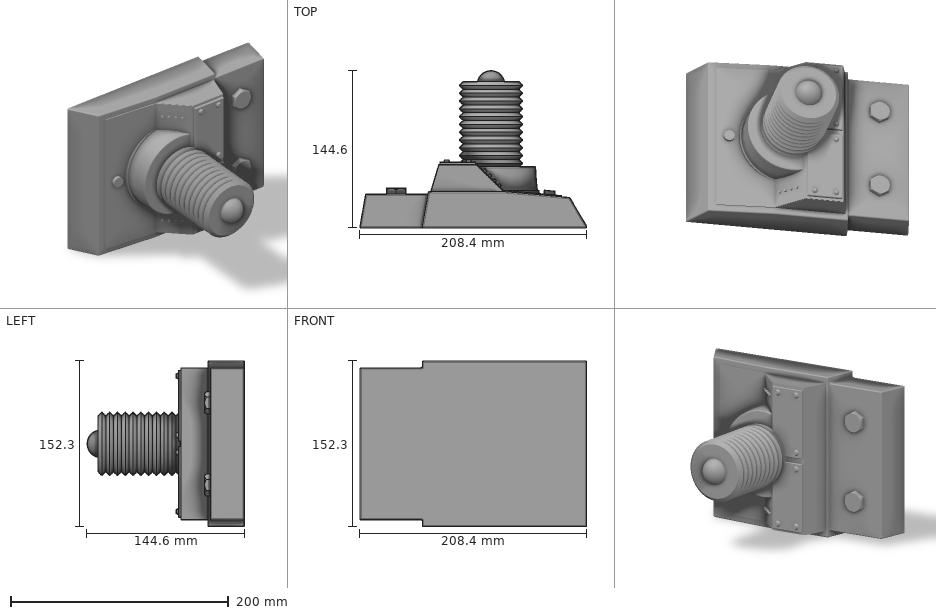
import cadquery as cq
import math


LENGTH = 208.4
BODY_WIDTH = 152.3
BODY_HALF_WIDTH = BODY_WIDTH / 2
WIDTH_STEP = 6.3
SHOULDER_HALF_WIDTH = BODY_HALF_WIDTH - WIDTH_STEP
BODY_HEIGHT = 33.5
SHOULDER_HEIGHT = 31.3
BODY_START = 57.0
SLOPE_START = 132.3
SLOPE_ANGLE = 5.2
LEFT_DRAFT = 10.0
RIGHT_DRAFT = 30.5
EDGE_RADIUS = 1.3

PAD_START = 65.5
PAD_END = 185.5
PAD_RISE = 1.0

TOWER_HEIGHT = 58.3
TOWER_TOP_START = 72.5
TOWER_TOP_END = 107.5
TOWER_FOOT_END = 131.7
RAMP_ANGLE = math.degrees(math.atan2(TOWER_HEIGHT - BODY_HEIGHT - PAD_RISE, TOWER_FOOT_END - TOWER_TOP_END))
SKIN_THICKNESS = 0.52
SKIN_INSET = 0.2

PLATE_START = 73.5
PLATE_END = 106.3
PLATE_THICKNESS = 2.5
PLATE_CHAMFER = 0.52
PLATE_HALF_WIDTH = 67.5
PLATE_HALF_GAP = 2.5
SCREW_RADIUS = 3.0
SCREW_HEIGHT = 1.9
SCREW_TOP_RADIUS = 1.7
SCREW_X = (79.8, 100.0)
SCREW_Z = (8.0, 62.3)

PIN_COUNT = 4
PIN_PITCH = 6.3
PIN_ROW_SHIFT = 1.9
PIN_RADIUS = 1.3
PIN_HEIGHT = 2.0
PIN_Z = 56.3

STUD_X = 120.5
BOSS_TOP = 56.5
BOSS_TOP_RADIUS = 41.0
BOSS_FOOT_RADIUS = 42.7
BOSS_EDGE_RADIUS = 1.3
FLANGE_RADIUS = 44.4
FLANGE_TOP = 34.5
STUD_TOP = 134.6
STUD_BOTTOM = 55.8
RIDGE_COUNT = 11
CREST_RADIUS = 29.2
ROOT_RADIUS = 25.6
DOME_RADIUS = 12.7
TIP = 144.6

BOLT_X = 33.3
BOLT_Z = 37.7
BOLT_FLATS = 17.7
BOLT_TOP = 36.7
BOLT_CHAMFER_ANGLE = 50.0

PLUG_X = 174.0
PLUG_RADIUS = 5.0
PLUG_HEIGHT = 4.5

EMBED = 2.0


def drop(x):
    """Fall of the sloping top at x, below the level part."""
    return max(0.0, x - SLOPE_START) * math.tan(math.radians(SLOPE_ANGLE))


def corner_overhang(draft):
    """Distance from a sharp drafted bottom corner to the outermost point of its rounding."""
    half_corner = math.radians(90 - draft) / 2
    return EDGE_RADIUS * (1 / math.tan(half_corner) - 1)


def prism(points, half_width):
    """Outline in XY, extruded equally to both sides of Z = 0."""
    return cq.Workplane("XY").polyline(points).close().extrude(half_width, both=True)


def post(x, y, z, tilt=0.0):
    """Workplane whose normal points along +Y, leaning toward +X by the tilt angle."""
    lean = math.radians(tilt)
    normal = cq.Vector(math.sin(lean), math.cos(lean), 0)
    return cq.Workplane(cq.Plane(origin=(x, y, z), xDir=(0, 0, 1), normal=normal))


def make_housing():
    left_tan = math.tan(math.radians(LEFT_DRAFT))
    right_tan = math.tan(math.radians(RIGHT_DRAFT))
    slope_tan = math.tan(math.radians(SLOPE_ANGLE))
    left = -corner_overhang(LEFT_DRAFT)
    right = LENGTH + corner_overhang(RIGHT_DRAFT)
    end_height = (BODY_HEIGHT - (right - SLOPE_START) * slope_tan) / (1 - right_tan * slope_tan)
    body = prism(
        [
            (BODY_START, 0),
            (right, 0),
            (right - end_height * right_tan, end_height),
            (SLOPE_START, BODY_HEIGHT),
            (BODY_START + BODY_HEIGHT * left_tan, BODY_HEIGHT),
        ],
        BODY_HALF_WIDTH,
    )
    shoulder = prism(
        [
            (left, 0),
            (SLOPE_START, 0),
            (SLOPE_START, SHOULDER_HEIGHT),
            (left + SHOULDER_HEIGHT * left_tan, SHOULDER_HEIGHT),
        ],
        SHOULDER_HALF_WIDTH,
    )
    housing = body.union(shoulder)
    ridge = cq.selectors.NearestToPointSelector((SLOPE_START, BODY_HEIGHT, 0))
    all_but_ridge = cq.selectors.SubtractSelector(cq.selectors.Selector(), ridge)
    return housing.edges(all_but_ridge).fillet(EDGE_RADIUS)


def make_pad():
    level = BODY_HEIGHT + PAD_RISE
    end_level = level - drop(PAD_END)
    return prism(
        [
            (PAD_START, BODY_HEIGHT - EMBED),
            (SLOPE_START, BODY_HEIGHT - EMBED),
            (PAD_END, end_level - PAD_RISE - EMBED),
            (PAD_END, end_level),
            (SLOPE_START, level),
            (PAD_START, level),
        ],
        SHOULDER_HALF_WIDTH,
    )


def make_tower():
    foot = BODY_HEIGHT + PAD_RISE
    core_height = TOWER_HEIGHT - SKIN_THICKNESS
    ramp = math.radians(RAMP_ANGLE)
    foot_setback = SKIN_THICKNESS / math.sin(ramp)
    top_setback = SKIN_THICKNESS * math.tan(ramp / 2)
    left_setback = SKIN_THICKNESS * (TOWER_TOP_START - PAD_START) / (TOWER_HEIGHT - foot)
    core = prism(
        [
            (PAD_START, foot),
            (TOWER_FOOT_END - foot_setback, foot),
            (TOWER_TOP_END - top_setback, core_height),
            (TOWER_TOP_START - left_setback, core_height),
        ],
        SHOULDER_HALF_WIDTH,
    )
    skinned = prism(
        [
            (PAD_START, foot),
            (TOWER_FOOT_END, foot),
            (TOWER_TOP_END, TOWER_HEIGHT),
            (TOWER_TOP_START, TOWER_HEIGHT),
        ],
        SHOULDER_HALF_WIDTH - SKIN_INSET,
    )
    return core.union(skinned)


def make_cover(side):
    plate_top = TOWER_HEIGHT + PLATE_THICKNESS
    width = PLATE_HALF_WIDTH - PLATE_HALF_GAP
    middle_z = side * (PLATE_HALF_GAP + width / 2)
    plate = cq.Workplane("XY").box(
        PLATE_END - PLATE_START, PLATE_THICKNESS, width, centered=(False, False, True)
    )
    plate = plate.faces(">Y").chamfer(PLATE_CHAMFER)
    cover = plate.translate((PLATE_START, TOWER_HEIGHT, middle_z))
    screw_profile = (
        cq.Workplane("XY")
        .lineTo(SCREW_RADIUS, 0)
        .lineTo(SCREW_TOP_RADIUS, SCREW_HEIGHT)
        .lineTo(0, SCREW_HEIGHT)
        .close()
    )
    screw = screw_profile.revolve(360, (0, 0, 0), (0, 1, 0))
    for x in SCREW_X:
        for z in SCREW_Z:
            cover = cover.union(screw.translate((x, plate_top, side * z)))
    return cover


def make_pins(side):
    ramp = math.radians(RAMP_ANGLE)
    middle_x = (TOWER_TOP_END + TOWER_FOOT_END) / 2
    middle_y = (TOWER_HEIGHT + BODY_HEIGHT + PAD_RISE) / 2
    pins = cq.Workplane("XY")
    for i in range(PIN_COUNT):
        along = (i - (PIN_COUNT - 1) / 2) * PIN_PITCH + PIN_ROW_SHIFT
        x = middle_x + along * math.cos(ramp)
        y = middle_y - along * math.sin(ramp)
        base = post(x, y, side * PIN_Z, RAMP_ANGLE).workplane(offset=-EMBED)
        pins = pins.add(base.circle(PIN_RADIUS).extrude(PIN_HEIGHT + EMBED))
    return pins.combine()


def make_boss():
    foot = BODY_HEIGHT - drop(STUD_X + FLANGE_RADIUS) - EMBED
    profile = (
        cq.Workplane("XY")
        .moveTo(0, foot)
        .lineTo(FLANGE_RADIUS, foot)
        .lineTo(FLANGE_RADIUS, FLANGE_TOP)
        .lineTo(BOSS_FOOT_RADIUS, FLANGE_TOP)
        .lineTo(BOSS_TOP_RADIUS, BOSS_TOP)
        .lineTo(0, BOSS_TOP)
        .close()
    )
    boss = profile.revolve(360, (0, 0, 0), (0, 1, 0))
    return boss.faces(">Y").edges().fillet(BOSS_EDGE_RADIUS).translate((STUD_X, 0, 0))


def make_stud():
    pitch = (STUD_TOP - STUD_BOTTOM) / RIDGE_COUNT
    outline = [(0, STUD_BOTTOM), (ROOT_RADIUS, STUD_BOTTOM)]
    for i in range(RIDGE_COUNT):
        outline.append((CREST_RADIUS, STUD_BOTTOM + (i + 0.5) * pitch))
        outline.append((ROOT_RADIUS, STUD_BOTTOM + (i + 1) * pitch))
    outline.append((0, STUD_TOP))
    stud = cq.Workplane("XY").polyline(outline).close().revolve(360, (0, 0, 0), (0, 1, 0))
    dome = cq.Workplane("XY").sphere(DOME_RADIUS).translate((0, TIP - DOME_RADIUS, 0))
    return stud.union(dome).translate((STUD_X, 0, 0))


def make_bolt_head(side):
    """Hexagon with flats facing X, its corners cut back by a cone at the top."""
    corner_radius = BOLT_FLATS / 2 / math.cos(math.pi / 6)
    height = BOLT_TOP - SHOULDER_HEIGHT + EMBED
    top_radius = BOLT_FLATS / 2
    cone_drop = (corner_radius - top_radius) * math.tan(math.radians(BOLT_CHAMFER_ANGLE))
    head = post(0, 0, 0).polygon(6, 2 * corner_radius).extrude(height)
    envelope = (
        cq.Workplane("XY")
        .lineTo(corner_radius, 0)
        .lineTo(corner_radius, height - cone_drop)
        .lineTo(top_radius, height)
        .lineTo(0, height)
        .close()
        .revolve(360, (0, 0, 0), (0, 1, 0))
    )
    return head.intersect(envelope).translate((BOLT_X, SHOULDER_HEIGHT - EMBED, side * BOLT_Z))


def make_plug():
    base = post(PLUG_X, BODY_HEIGHT - drop(PLUG_X), 0, SLOPE_ANGLE).workplane(offset=-EMBED)
    return base.circle(PLUG_RADIUS).extrude(PLUG_HEIGHT + EMBED)


result = make_housing()
for feature in (make_pad(), make_tower(), make_boss(), make_stud(), make_plug()):
    result = result.union(feature)
for side in (-1, 1):
    for feature in (make_cover(side), make_pins(side), make_bolt_head(side)):
        result = result.union(feature)